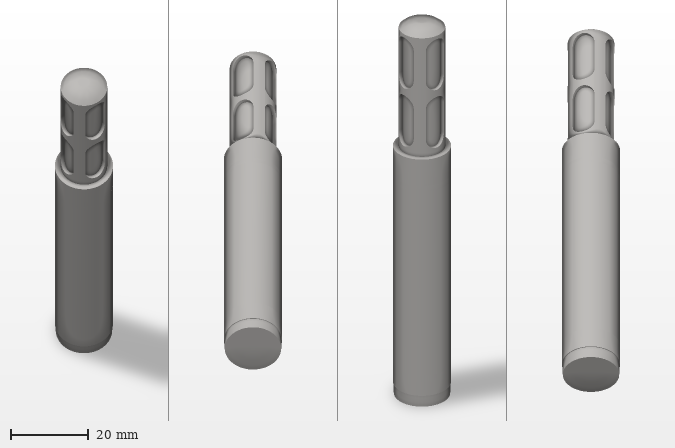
import cadquery as cq
import math

TOTAL_HEIGHT = 110.0
BODY_DIAMETER = 15.0
BASE_DIAMETER = 14.5
TIP_DIAMETER = 12.0

BASE_TOP = 3.3
BOTTOM_RING_TOP = 9.2
TUBE_TOP = 63.6
SPACER_TOP = 65.2
CAP_TOP = 73.0

DOME_HEIGHT = 2.0
SHOULDER_HEIGHT = TOTAL_HEIGHT - DOME_HEIGHT
DOME_RADIUS = 6.6
PLUG_DIAMETER = 3.0

WINDOW_WIDTH = TIP_DIAMETER / 2
WINDOW_LENGTH = 15.0
WINDOW_ROW_PITCH = 17.0
LOWER_WINDOW_CENTRE = 82.5
WINDOW_ROWS = 2
WINDOWS_PER_ROW = 4

CORE_DIAMETER = 10.0


def cylinder(diameter, bottom, top):
    """Solid cylinder on the Z axis between two heights."""
    return cq.Workplane("XY").workplane(offset=bottom).circle(diameter / 2).extrude(top - bottom)


def domed_blank():
    """Tip blank: a cylinder whose rounded end closes in to a small flat."""
    tip_radius = TIP_DIAMETER / 2
    flat_radius = PLUG_DIAMETER / 2
    dome_run = tip_radius - flat_radius
    chord = math.hypot(dome_run, DOME_HEIGHT)
    bulge = DOME_RADIUS - math.sqrt(DOME_RADIUS**2 - (chord / 2) ** 2)
    dome_middle = (
        flat_radius + dome_run / 2 + bulge * DOME_HEIGHT / chord,
        SHOULDER_HEIGHT + DOME_HEIGHT / 2 + bulge * dome_run / chord,
    )
    return (
        cq.Workplane("XZ")
        .moveTo(0, CAP_TOP)
        .lineTo(tip_radius, CAP_TOP)
        .lineTo(tip_radius, SHOULDER_HEIGHT)
        .threePointArc(dome_middle, (flat_radius, TOTAL_HEIGHT))
        .lineTo(0, TOTAL_HEIGHT)
        .close()
        .revolve(360, (0, 0, 0), (0, 1, 0))
    )


def window_cutter(centre_height, angle):
    """Upright rounded slot that reaches from the axis out through the sleeve wall."""
    return (
        cq.Workplane("XZ")
        .center(0, centre_height)
        .slot2D(WINDOW_LENGTH, WINDOW_WIDTH, 90)
        .extrude(TIP_DIAMETER)
        .rotate((0, 0, 0), (0, 0, 1), angle)
    )


def make_tip_sleeve():
    """Domed sleeve with its windows, core bore and plug seat."""
    sleeve = domed_blank()
    for row in range(WINDOW_ROWS):
        for position in range(WINDOWS_PER_ROW):
            centre_height = LOWER_WINDOW_CENTRE + row * WINDOW_ROW_PITCH
            angle = position * 360 / WINDOWS_PER_ROW
            sleeve = sleeve.cut(window_cutter(centre_height, angle))
    sleeve = sleeve.cut(cylinder(CORE_DIAMETER, CAP_TOP, SHOULDER_HEIGHT))
    return sleeve.cut(cylinder(PLUG_DIAMETER, SHOULDER_HEIGHT, TOTAL_HEIGHT))


base = cylinder(BASE_DIAMETER, 0, BASE_TOP)
bottom_ring = cylinder(BODY_DIAMETER, BASE_TOP, BOTTOM_RING_TOP)
tube = cylinder(BODY_DIAMETER, BOTTOM_RING_TOP, TUBE_TOP)
spacer = cylinder(BODY_DIAMETER, TUBE_TOP, SPACER_TOP)
cap = cylinder(BODY_DIAMETER, SPACER_TOP, CAP_TOP)
tip_sleeve = make_tip_sleeve()
tip_core = cylinder(CORE_DIAMETER, CAP_TOP, SHOULDER_HEIGHT)
tip_plug = cylinder(PLUG_DIAMETER, SHOULDER_HEIGHT, TOTAL_HEIGHT)

result = cq.Compound.makeCompound(
    [
        base.val(),
        bottom_ring.val(),
        tube.val(),
        spacer.val(),
        cap.val(),
        tip_sleeve.val(),
        tip_core.val(),
        tip_plug.val(),
    ]
)